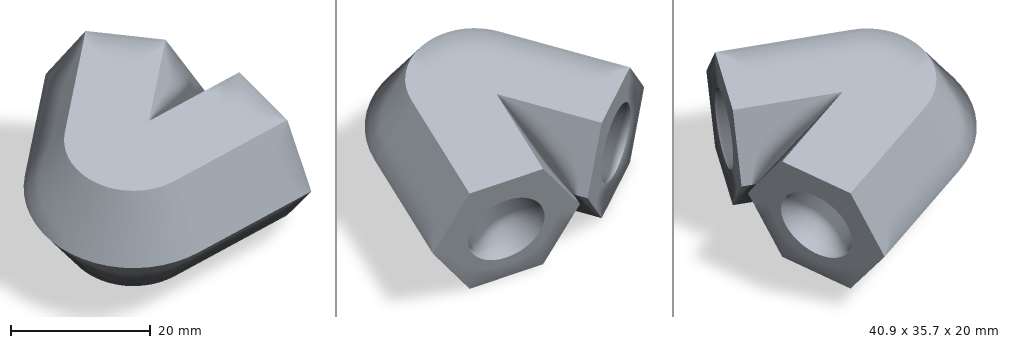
import cadquery as cq
import math

across_flats = 20.0
leg_length = 20.0
bore_diameter = 12.0
bend_radius = 4.15
bend_angle = 135

half_height = across_flats / 2
across_corners = across_flats / math.cos(math.radians(30))
corner_radius = across_corners / 2
half_flat = corner_radius / 2
bore_radius = bore_diameter / 2
bore_axis_height = math.sqrt(bore_radius**2 - bend_radius**2)


def both_legs(profile):
    """Extrude an XZ profile as the +Y leg and as the leg beyond the bend."""
    first = profile.extrude(-leg_length)
    second = first.mirror("XZ").rotate((0, 0, 0), (0, 0, 1), -bend_angle)
    return first.union(second)


def bend(half_profile):
    """Revolve the part of a profile outside the bend axis clockwise about Z."""
    return half_profile.revolve(bend_angle, (0, 0), (0, -1))


hexagon = cq.Workplane("XZ").center(bend_radius, 0).polygon(6, across_corners)
half_hexagon = (
    cq.Workplane("XZ")
    .moveTo(0, -half_height)
    .lineTo(bend_radius + half_flat, -half_height)
    .lineTo(bend_radius + corner_radius, 0)
    .lineTo(bend_radius + half_flat, half_height)
    .lineTo(0, half_height)
    .close()
)
body = both_legs(hexagon).union(bend(half_hexagon))

circle = cq.Workplane("XZ").center(bend_radius, 0).circle(bore_radius)
half_circle = (
    cq.Workplane("XZ")
    .moveTo(0, -bore_axis_height)
    .threePointArc((bend_radius + bore_radius, 0), (0, bore_axis_height))
    .close()
)
passage = both_legs(circle).union(bend(half_circle))

result = body.cut(passage)